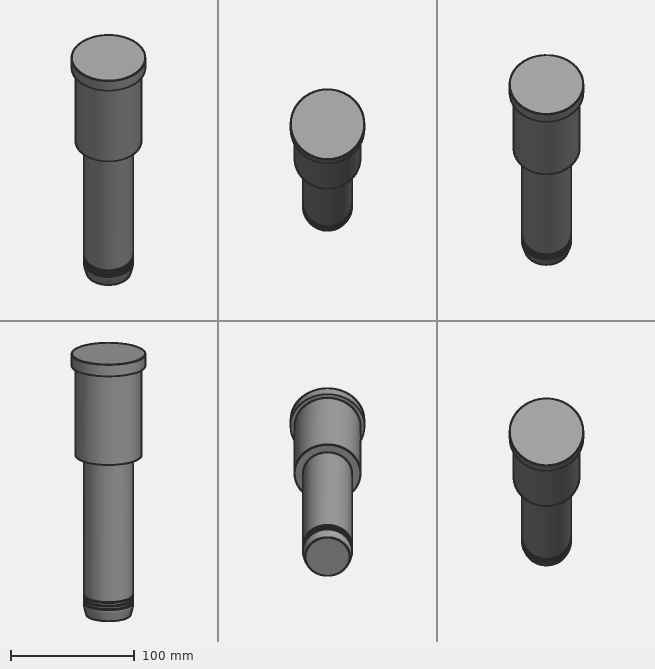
import cadquery as cq

length = 221.0
head_diameter = 60.0
head_radius = head_diameter / 2
shoulder_diameter = 53.7
shoulder_radius = shoulder_diameter / 2
shaft_diameter = 40.0
shaft_radius = shaft_diameter / 2

head_height = 10.2
shoulder_length = 76.0
head_chamfer = 0.5
shoulder_chamfer = 0.5

relief_width = 0.7
relief_depth = 0.2

nose_height = 8.6
nose_end_radius = 18.1
nose_bulge = 0.2
tip_chamfer = 0.5

groove_count = 3
groove_width = 1.0
groove_gap = 2.0
groove_pitch = groove_width + groove_gap
groove_depth = 0.5
first_groove_z = 10.5

head_bottom = length - head_height
shoulder_bottom = head_bottom - shoulder_length
nose_mid_radius = (nose_end_radius + shaft_radius) / 2 + nose_bulge
nose_mid_z = (tip_chamfer + nose_height) / 2


def make_body():
    """Revolve the stepped half outline about the Z axis."""
    outline = (
        cq.Workplane("XZ")
        .lineTo(nose_end_radius - tip_chamfer, 0)
        .lineTo(nose_end_radius, tip_chamfer)
        .threePointArc((nose_mid_radius, nose_mid_z), (shaft_radius, nose_height))
        .lineTo(shaft_radius, shoulder_bottom)
        .lineTo(shoulder_radius - shoulder_chamfer, shoulder_bottom)
        .lineTo(shoulder_radius, shoulder_bottom + shoulder_chamfer)
        .lineTo(shoulder_radius, head_bottom)
        .lineTo(head_radius, head_bottom)
        .lineTo(head_radius, length - head_chamfer)
        .lineTo(head_radius - head_chamfer, length)
        .lineTo(0, length)
        .close()
    )
    return outline.revolve(360, (0, 0, 0), (0, 1, 0))


def make_ring_cut(bottom_z, width, radius, depth):
    """Ring of material to remove for a groove in a cylinder of the given radius."""
    return (
        cq.Workplane("XY")
        .workplane(offset=bottom_z)
        .circle(radius)
        .circle(radius - depth)
        .extrude(width)
    )


result = make_body()

for index in range(groove_count):
    groove_bottom = first_groove_z - groove_width / 2 + index * groove_pitch
    result = result.cut(make_ring_cut(groove_bottom, groove_width, shaft_radius, groove_depth))

for corner_z, radius in ((head_bottom, shoulder_radius), (shoulder_bottom, shaft_radius)):
    result = result.cut(make_ring_cut(corner_z - relief_width, relief_width, radius, relief_depth))